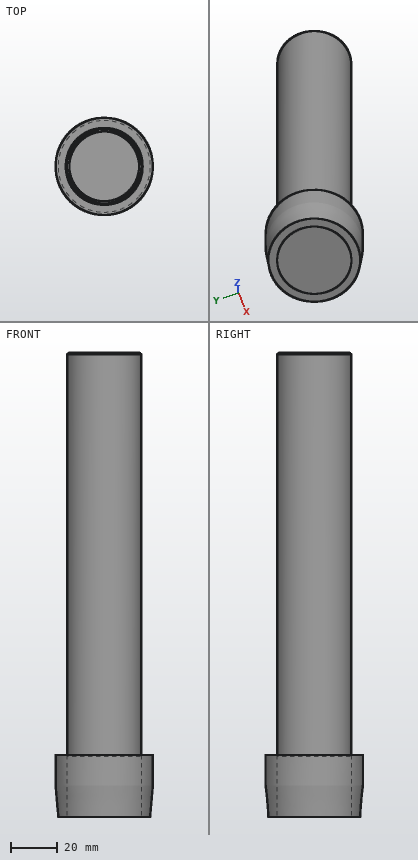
import cadquery as cq

total_length = 200.0

pin_radius = 16.0
pin_tip_radius = 15.0
pin_chamfer_height = 0.8

collar_radius = 21.0
collar_height = 26.8
collar_base_radius = 19.8
taper_height = 13.5
bore_chamfer = 0.5


def make_pin():
    """Full-length round pin with a chamfered upper end."""
    shoulder_height = total_length - pin_chamfer_height
    half_profile = (
        cq.Workplane("XZ")
        .lineTo(pin_radius, 0)
        .lineTo(pin_radius, shoulder_height)
        .lineTo(pin_tip_radius, total_length)
        .lineTo(0, total_length)
        .close()
    )
    return half_profile.revolve(360, (0, 0, 0), (0, 1, 0))


def make_collar():
    """Ring around the pin's foot: straight taper below, cylinder above, chamfered bore mouth."""
    half_profile = (
        cq.Workplane("XZ")
        .moveTo(pin_radius, 0)
        .lineTo(collar_base_radius, 0)
        .lineTo(collar_radius, taper_height)
        .lineTo(collar_radius, collar_height)
        .lineTo(pin_radius + bore_chamfer, collar_height)
        .lineTo(pin_radius, collar_height - bore_chamfer)
        .close()
    )
    return half_profile.revolve(360, (0, 0, 0), (0, 1, 0))


pin = make_pin()
collar = make_collar()

result = cq.Compound.makeCompound([pin.val(), collar.val()])